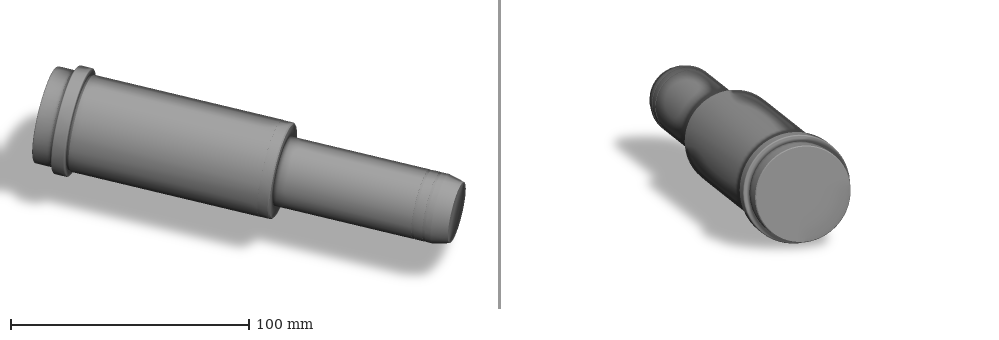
import cadquery as cq

length = 180.0
body_radius = 42.0 / 2
collar_radius = 47.0 / 2
pin_radius = 30.0 / 2

head_length = 7.7
head_chamfer = 0.4
collar_start = 9.0
collar_end = 15.0
body_start = 16.0
head_relief_depth = 0.2
body_relief_depth = 0.5
collar_fillet = 0.5

shoulder_end = 103.9
shoulder_band_length = 5.0
shoulder_band_depth = 0.09
shoulder_chamfer = 0.5

groove_starts = (164.5, 169.4)
groove_width = 1.0
groove_depth = 0.2
lead_in_length = 7.0
tip_radius = 26.3 / 2
lead_in_bulge = 0.23


def cylinder(start, end, radius):
    """Solid cylinder along X."""
    return cq.Workplane("YZ").workplane(offset=start).circle(radius).extrude(end - start)


def ring_groove(start, end, outer_radius, depth):
    """Ring to cut from a cylinder of the given radius."""
    clearance = 1.8
    return cylinder(start, end, outer_radius + clearance).cut(
        cylinder(start, end, outer_radius - depth)
    )


def make_body():
    """Large cylinder with its stepped shoulder, relief grooves and collar."""
    band_start = shoulder_end - shoulder_band_length
    band_radius = body_radius - shoulder_band_depth
    profile = [
        (0, 0),
        (0, body_radius - head_chamfer),
        (head_chamfer, body_radius),
        (band_start, body_radius),
        (band_start, band_radius),
        (shoulder_end - shoulder_chamfer, band_radius),
        (shoulder_end, band_radius - shoulder_chamfer),
        (shoulder_end, 0),
    ]
    body = cq.Workplane("XY").polyline(profile).close().revolve(360, (0, 0), (1, 0))
    body = body.cut(ring_groove(head_length, collar_start, body_radius, head_relief_depth))
    body = body.cut(ring_groove(collar_end, body_start, body_radius, body_relief_depth))
    collar = cylinder(collar_start, collar_end, collar_radius).edges().fillet(collar_fillet)
    return body.union(collar)


def make_pin():
    """Slim cylinder with its two grooves and rounded lead-in."""
    lead_in_start = length - lead_in_length
    lead_in_middle = (
        length - lead_in_length / 2,
        (pin_radius + tip_radius) / 2 + lead_in_bulge,
    )
    pin = (
        cq.Workplane("XY")
        .moveTo(shoulder_end, 0)
        .lineTo(shoulder_end, pin_radius)
        .lineTo(lead_in_start, pin_radius)
        .threePointArc(lead_in_middle, (length, tip_radius))
        .lineTo(length, 0)
        .close()
        .revolve(360, (0, 0), (1, 0))
    )
    for start in groove_starts:
        pin = pin.cut(ring_groove(start, start + groove_width, pin_radius, groove_depth))
    return pin


result = make_body().union(make_pin())